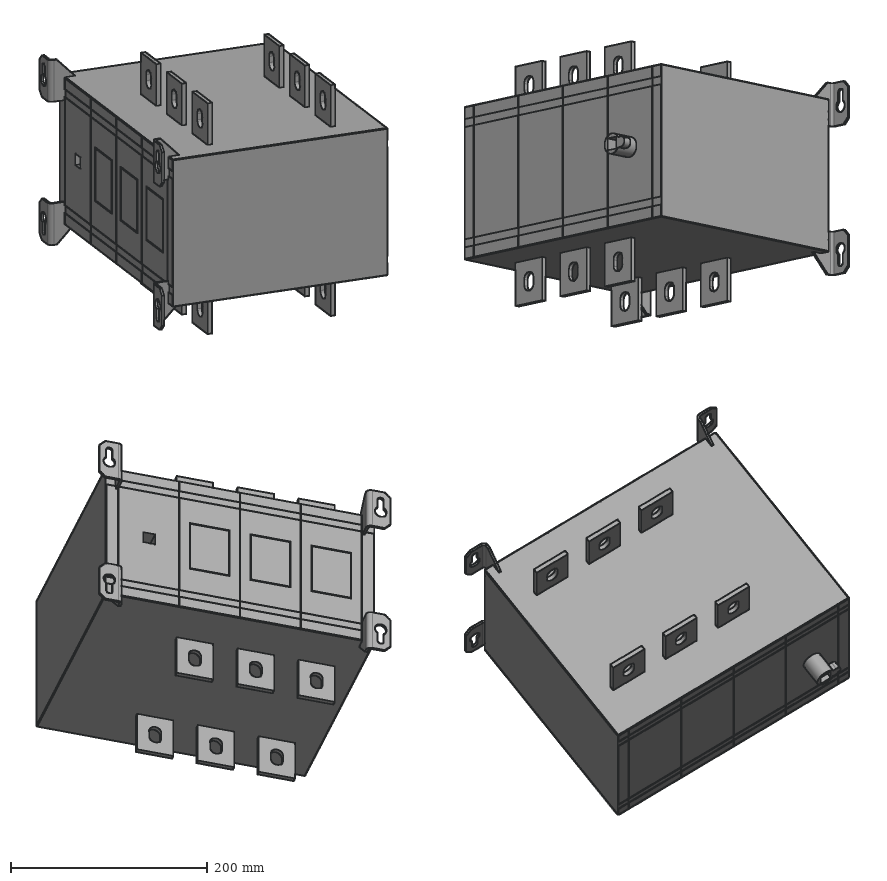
import cadquery as cq

BODY_X = 287.5
BODY_Y = 240.0
BODY_Z = 160.0
EDGE_CHAMFER = 1.0

MODULE_COUNT = 4
MODULE_PITCH = 65.0
SEAM_WIDTH = 0.5
SEAM_DEPTH = 1.0

BAND_Z = 62.8
BAND_HEIGHT = 8.5
BAND_DEPTH = 0.5

WINDOW_X = 42.5
WINDOW_Z = 58.0
WINDOW_GROOVE = 0.5

BAR_X = 39.0
BAR_Y = 5.0
BAR_LENGTH = 250.0
BAR_FRONT_Y = 53.2
BAR_REAR_Y = BODY_Y - 49.8
BAR_HOLE_Z = 102.3
BAR_HOLE_LENGTH = 19.5
BAR_HOLE_WIDTH = 13.0

SHAFT_X = -97.0
SHAFT_DIAMETER = 21.0
SHAFT_LENGTH = 25.0
POINTER_REACH = 18.5
POINTER_WIDTH = 11.0
POINTER_LENGTH = 8.7
SQUARE_BORE = 12.5

OVERALL_X = 311.0
SHEET = 2.5
FOOT_Y = -17.0
BRACKET_INNER_X = 130.5
BRACKET_TOP_Z = 100.0
BRACKET_HEIGHT = 45.0
BEND_RADIUS = 5.0
FOOT_CHAMFER = 6.2
LEG_REAR_Y = 13.0
LEG_SLOPE_Y = -8.5
KEYHOLE_EDGE = 10.5
KEYHOLE_Z = 74.5
KEYHOLE_DIAMETER = 12.5
KEYSLOT_WIDTH = 6.8
KEYSLOT_TOP_Z = 92.7

POLE_X = [(i + 0.5 - MODULE_COUNT / 2) * MODULE_PITCH for i in range(1, MODULE_COUNT)]


def block(x_size, y_size, z_size, x, y, z):
    """Box centred on (x, y, z)."""
    return cq.Workplane("XY").box(x_size, y_size, z_size).translate((x, y, z))


def make_body():
    """Chamfered box with module seams and bands on its front and rear faces."""
    body = block(BODY_X, BODY_Y, BODY_Z, 0, BODY_Y / 2, 0).edges().chamfer(EDGE_CHAMFER)
    for face_y in (0, BODY_Y):
        for i in range(MODULE_COUNT + 1):
            seam_x = (i - MODULE_COUNT / 2) * MODULE_PITCH
            body = body.cut(block(SEAM_WIDTH, 2 * SEAM_DEPTH, BODY_Z, seam_x, face_y, 0))
        for side in (1, -1):
            body = body.cut(block(BODY_X, 2 * BAND_DEPTH, BAND_HEIGHT, 0, face_y, side * BAND_Z))
    return body


def make_window_groove(x):
    """Rectangular ring that cuts the outline of one window into the front face."""
    depth = 2 * WINDOW_GROOVE
    outer = block(WINDOW_X, depth, WINDOW_Z, x, 0, 0)
    pad = block(WINDOW_X - 2 * WINDOW_GROOVE, depth, WINDOW_Z - 2 * WINDOW_GROOVE, x, 0, 0)
    return outer.cut(pad)


def make_terminal_bar(x, y):
    """Flat bar with a slotted hole at its top and bottom ends."""
    bar = block(BAR_X, BAR_Y, BAR_LENGTH, x, y, 0)
    holes = (
        cq.Workplane("XZ", origin=(x, y, 0))
        .pushPoints([(0, BAR_HOLE_Z), (0, -BAR_HOLE_Z)])
        .slot2D(BAR_HOLE_LENGTH, BAR_HOLE_WIDTH, 90)
        .extrude(BAR_Y, both=True)
    )
    return bar.cut(holes)


def make_shaft():
    """Round shaft behind the body with a round-tipped pointer at its rear end."""
    rear_y = BODY_Y + SHAFT_LENGTH
    plane = cq.Workplane("XZ", origin=(SHAFT_X, rear_y, 0))
    shaft = plane.circle(SHAFT_DIAMETER / 2).extrude(SHAFT_LENGTH)
    tip_radius = POINTER_WIDTH / 2
    tip_x = tip_radius - POINTER_REACH
    pointer = (
        plane.moveTo(0, tip_radius)
        .lineTo(tip_x, tip_radius)
        .threePointArc((-POINTER_REACH, 0), (tip_x, -tip_radius))
        .lineTo(0, -tip_radius)
        .close()
        .extrude(POINTER_LENGTH)
    )
    return shaft.union(pointer)


def make_bracket():
    """Bracket for the +X, +Z corner."""
    outer_x = OVERALL_X / 2
    bottom_z = BRACKET_TOP_Z - BRACKET_HEIGHT
    bend_x = BRACKET_INNER_X + BEND_RADIUS
    bend_y = FOOT_Y + BEND_RADIUS
    sheet_angle = (
        cq.Workplane("XY", origin=(0, 0, bottom_z))
        .moveTo(BRACKET_INNER_X, LEG_REAR_Y)
        .lineTo(BRACKET_INNER_X, bend_y)
        .radiusArc((bend_x, FOOT_Y), -BEND_RADIUS)
        .lineTo(outer_x, FOOT_Y)
        .lineTo(outer_x, FOOT_Y + SHEET)
        .lineTo(bend_x, FOOT_Y + SHEET)
        .radiusArc((BRACKET_INNER_X + SHEET, bend_y), BEND_RADIUS - SHEET)
        .lineTo(BRACKET_INNER_X + SHEET, LEG_REAR_Y)
        .close()
        .extrude(BRACKET_HEIGHT)
    )
    sheet_angle = sheet_angle.edges("|Y and >X").chamfer(FOOT_CHAMFER)

    slope = LEG_REAR_Y - LEG_SLOPE_Y
    leg_corner = (
        cq.Workplane("YZ", origin=(BRACKET_INNER_X, 0, 0))
        .moveTo(LEG_SLOPE_Y, BRACKET_TOP_Z)
        .lineTo(LEG_REAR_Y, BRACKET_TOP_Z)
        .lineTo(LEG_REAR_Y, BRACKET_TOP_Z - slope)
        .close()
        .extrude(SHEET)
    )

    keyhole_plane = cq.Workplane("XZ", origin=(outer_x - KEYHOLE_EDGE, FOOT_Y + SHEET, 0))
    keyhole = keyhole_plane.center(0, KEYHOLE_Z).circle(KEYHOLE_DIAMETER / 2).extrude(SHEET)
    slot_length = KEYSLOT_TOP_Z - KEYHOLE_Z
    keyslot = (
        keyhole_plane.center(0, KEYHOLE_Z + slot_length / 2)
        .slot2D(slot_length, KEYSLOT_WIDTH, 90)
        .extrude(SHEET)
    )
    return sheet_angle.cut(leg_corner).cut(keyhole).cut(keyslot)


result = make_body()
for pole_x in POLE_X:
    result = result.cut(make_window_groove(pole_x))
    for bar_y in (BAR_FRONT_Y, BAR_REAR_Y):
        result = result.union(make_terminal_bar(pole_x, bar_y))

result = result.union(make_shaft())
through_length = 2 * (BODY_Y + SHAFT_LENGTH)
result = result.cut(block(SQUARE_BORE, through_length, SQUARE_BORE, SHAFT_X, 0, 0))

upper_right = make_bracket()
upper_pair = upper_right.union(upper_right.mirror("YZ"))
result = result.union(upper_pair).union(upper_pair.mirror("XY"))